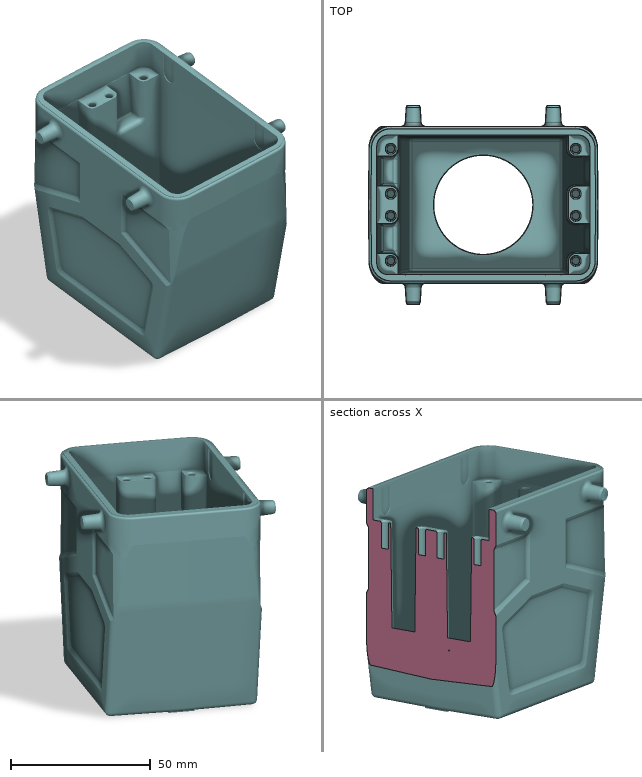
import cadquery as cq
import math

half_length = 41.0
half_width = 28.05
height = 78.6
shoulder_z = 67.9
waist_z = 43.6
waist_half = 39.0
base_half = 30.8
bend_radius = 20.0
side_draft = 0.5
corner_radius = 7.8
corner_foot_radius = 6.1
corner_foot_z = 28.7
edge_radius = 2.0
rim_radius = 0.7
lip_inset = 0.9
lip_height = 0.3

wall = 3.1
floor_z = 3.3
boss_top_z = 67.1
mouth_half_length = 38.05
mouth_half_width = 24.9
mouth_radius = 4.1
floor_half_width = 23.8
floor_radius = 1.15
outlet_radius = 17.7

boss_face_x = 30.5
middle_boss_half = 6.65
corner_boss_y = 17.4
boss_radius = 2.5
root_radius = 0.8
boss_draft = 0.8
screw_x = 33.05
screw_ys = (3.9, 20.0)
screw_diameter = 2.8
screw_mouth_diameter = 3.85
screw_depth = 9.8

shelf_z = 50.0
shelf_edge_radius = 1.8
thick_wall_bend_x = 29.4
thick_wall_bend_z = 20.1
thick_wall_foot_x = 26.4

pin_x = 25.0
pin_z = 72.5
pin_tip_y = 35.5
pin_base_radius = 2.9
pin_tip_radius = 2.55
pin_chamfer_length = 0.7
pin_chamfer_depth = 0.3
flare_radius = 4.6
flare_length = 1.3
relief_radius = 2.8
relief_depth = 0.3
relief_center_z = boss_top_z + relief_radius

recess_depth = 0.9
recess_slope = 1.7
roof_angle = 20.0
grip_inner_x = 11.3
grip_top_z = 65.5
grip_inner_z = 47.5
panel_top_half = 10.2
panel_top_z = 41.9
panel_shoulder_half = 29.4
panel_bottom_half = 24.2
panel_bottom_z = 7.8
panel_radius = 5.3

pad_length = 11.5
pad_width = 9.5
pad_height = 0.3
pad_x = 23.95

trim_allowance = 4.1
beyond = 49.2
recess_taper = math.degrees(math.atan(recess_slope / recess_depth))
roof_slope = math.tan(math.radians(roof_angle))
margin = 0.4
box_select = cq.selectors.BoxSelector


def both_ends(shape):
    """Join a shape with its mirror image across x = 0."""
    return shape.union(shape.mirror("YZ"))


def both_faces(shape):
    """Join a shape with its mirror image across y = 0."""
    return shape.union(shape.mirror("XZ"))


def hull():
    """Kinked side profile with draft to both sides, cut off level below the lip."""
    right = [
        (base_half, 0), (waist_half, waist_z),
        (half_length, shoulder_z), (half_length, height + trim_allowance),
    ]
    outline = right + [(-x, z) for x, z in reversed(right)]
    middle = cq.Plane(origin=(0, 0, 0), xDir=(-1, 0, 0), normal=(0, 1, 0))
    half = cq.Workplane(middle).polyline(outline).close().extrude(half_width, taper=side_draft)

    def bends_at(z):
        return box_select((-beyond, half_width / 4, z - margin), (beyond, 3 * half_width / 4, z + margin))

    half = half.edges(bends_at(waist_z) + bends_at(shoulder_z)).fillet(bend_radius)
    face_edges = cq.selectors.StringSyntaxSelector(">Y") - cq.selectors.StringSyntaxSelector(">Z")
    half = half.edges(face_edges + bends_at(0)).fillet(edge_radius)
    level = cq.Workplane().rect(4 * beyond, 4 * beyond).extrude(height - lip_height)
    return both_faces(half).intersect(level)


def collar_section(radius, inset=0):
    """Horizontal section of the collar: end sides follow the side draft, corners are rounded."""
    middle_x = half_length - inset
    side_y = half_width - inset
    end_x = middle_x - half_width * math.tan(math.radians(side_draft))
    outline = [
        (middle_x, 0), (end_x, side_y), (-end_x, side_y),
        (-middle_x, 0), (-end_x, -side_y), (end_x, -side_y), (middle_x, 0),
    ]
    return cq.Sketch().polygon(outline).vertices("<Y or >Y").fillet(radius).reset()


def collar_body():
    """Upright collar above corners that shrink toward their foot."""
    rise = cq.Location(cq.Vector(0, 0, shoulder_z - corner_foot_z))
    lower = (
        cq.Workplane(origin=(0, 0, corner_foot_z))
        .placeSketch(collar_section(corner_foot_radius), collar_section(corner_radius).moved(rise))
        .loft(ruled=True)
    )
    upper = cq.Workplane(origin=(0, 0, shoulder_z)).placeSketch(collar_section(corner_radius))
    return lower.union(upper.extrude(height - shoulder_z))


def corner_trim():
    """Material outside the collar corners, above the slanted lower walls of the grip recesses."""
    angle = math.radians(roof_angle)
    along = cq.Vector(-math.cos(angle), 0, math.sin(angle))
    upward = cq.Vector(math.sin(angle), 0, math.cos(angle))
    inward = cq.Vector(0, -recess_depth, 0) + upward * recess_slope
    normal = along.cross(inward)
    plane = cq.Plane(origin=(grip_inner_x, half_width, grip_inner_z), xDir=along, normal=normal)
    above = cq.Workplane(plane).rect(4 * beyond, 4 * beyond).extrude(2 * beyond)
    corner = cq.Workplane(origin=(0, 0, corner_foot_z))
    corner = corner.box(beyond, beyond, height - corner_foot_z, centered=False)
    trim = corner.cut(collar_body()).intersect(above)
    return both_faces(both_ends(trim))


def lip():
    """Low ledge around the mouth, set in from the rounded rim."""
    section = collar_section(corner_radius - lip_inset, lip_inset)
    base = cq.Workplane(origin=(0, 0, height - 2 * lip_height))
    return base.placeSketch(section).extrude(2 * lip_height)


def grip_recesses():
    """Finger recesses at both sides of the broad faces, open to the corners."""
    outer_z = grip_inner_z - roof_slope * (beyond - grip_inner_x)
    outline = [
        (grip_inner_x, grip_top_z), (grip_inner_x, grip_inner_z),
        (beyond, outer_z), (beyond, grip_top_z),
    ]
    recess = cq.Workplane("XZ", origin=(0, half_width, 0)).polyline(outline).close()
    return both_faces(both_ends(recess.extrude(recess_depth, taper=recess_taper)))


def panel_recesses():
    """Shallow six-sided panels in the broad faces, with slanted walls."""
    shoulder = panel_top_z - roof_slope * (panel_shoulder_half - panel_top_half)
    right = [
        (panel_bottom_half, panel_bottom_z), (panel_shoulder_half, shoulder),
        (panel_top_half, panel_top_z),
    ]
    outline = right + [(-x, z) for x, z in reversed(right)]
    recess = cq.Workplane("XZ", origin=(0, half_width, 0)).polyline(outline).close()
    recess = recess.extrude(recess_depth, taper=recess_taper)
    return both_faces(recess.edges("not #Y").edges("not >Z").fillet(panel_radius))


def bosses():
    """Screw bosses at both ends, widening downward by their draft."""
    def block(y_low, y_high):
        top = cq.Workplane(cq.Plane(origin=(0, 0, boss_top_z), xDir=(1, 0, 0), normal=(0, 0, -1)))
        sketch = cq.Sketch().push([((boss_face_x + beyond) / 2, -(y_low + y_high) / 2)])
        sketch = sketch.rect(beyond - boss_face_x, y_high - y_low).reset()
        sketch = sketch.vertices().fillet(boss_radius)
        return top.placeSketch(sketch).extrude(boss_top_z, taper=-boss_draft)

    corner = block(corner_boss_y, beyond)
    middle = block(-middle_boss_half, middle_boss_half)
    return both_ends(both_faces(corner).union(middle))


def thick_wall():
    """Thick lower part of the -X end wall, ending in a shelf."""
    outline = [
        (-beyond, 0), (-thick_wall_foot_x, 0), (-thick_wall_foot_x, floor_z),
        (-thick_wall_bend_x, thick_wall_bend_z), (-boss_face_x, shelf_z), (-beyond, shelf_z),
    ]
    return cq.Workplane("XZ", origin=(0, beyond, 0)).polyline(outline).close().extrude(2 * beyond)


def boss_root_edges():
    """Select the upright edges where the corner bosses meet the long walls."""
    selector = None
    for x_near, x_far in ((-boss_face_x, -thick_wall_foot_x), (thick_wall_foot_x, boss_face_x)):
        for y_near, y_far in ((-mouth_half_width, -floor_half_width), (floor_half_width, mouth_half_width)):
            box = box_select((x_near, y_near, floor_z + floor_radius), (x_far, y_far, boss_top_z - margin))
            selector = selector + box if selector else box
    return selector


def shelf_edges(inner_x):
    """Select the edges at shelf height whose centers lie outside inner_x."""
    return box_select(
        (-beyond, -mouth_half_width, shelf_z - margin), (-inner_x, mouth_half_width, shelf_z + margin)
    )


def cavity():
    """Drafted inside with bosses and the thick end wall left standing, below a rounded mouth."""
    slope = (waist_half - base_half) / waist_z
    floor_half = base_half + slope * floor_z - wall
    right = [
        (floor_half, floor_z), (waist_half - wall, waist_z), (half_length - wall, boss_top_z),
    ]
    outline = right + [(-x, z) for x, z in reversed(right)]
    lower = cq.Workplane("XZ", origin=(0, beyond, 0)).polyline(outline).close().extrude(2 * beyond)
    section = [
        (floor_half_width, floor_z), (mouth_half_width, boss_top_z),
        (-mouth_half_width, boss_top_z), (-floor_half_width, floor_z),
    ]
    lower = lower.intersect(
        cq.Workplane("YZ", origin=(-beyond, 0, 0)).polyline(section).close().extrude(2 * beyond)
    )
    lower = lower.cut(thick_wall()).faces("<Z").edges().fillet(floor_radius)
    lower = lower.cut(bosses())
    lower = lower.edges(boss_root_edges() + shelf_edges(boss_face_x + margin)).fillet(root_radius)
    shelf_rims = lower.edges("|Y").edges(shelf_edges(boss_face_x - margin))
    lower = shelf_rims.edges(">X").fillet(shelf_edge_radius)
    mouth = (
        cq.Workplane(origin=(0, 0, boss_top_z))
        .rect(2 * mouth_half_length, 2 * mouth_half_width)
        .extrude(height - boss_top_z)
        .edges("|Z").fillet(mouth_radius)
    )
    return mouth.union(lower)


def pin_reliefs():
    """Shallow U-shaped reliefs in the mouth behind the pins."""
    depth = mouth_half_width + relief_depth
    relief = (
        cq.Workplane("XZ", origin=(pin_x, depth, 0))
        .moveTo(-relief_radius, height - rim_radius)
        .lineTo(-relief_radius, relief_center_z)
        .threePointArc((0, relief_center_z - relief_radius), (relief_radius, relief_center_z))
        .lineTo(relief_radius, height - rim_radius)
        .close()
        .extrude(2 * relief_depth)
    )
    return both_faces(both_ends(relief))


def pins():
    """Tapered pins with a concave flare where they leave the wall."""
    flare_end = half_width + flare_length
    mid = math.sqrt(0.5)
    flare_mid = (
        flare_radius - (flare_radius - pin_base_radius) * mid,
        flare_end - flare_length * mid,
    )
    pin = (
        cq.Workplane("XY", origin=(pin_x, 0, pin_z))
        .moveTo(0, half_width - wall / 2)
        .lineTo(flare_radius, half_width - wall / 2)
        .lineTo(flare_radius, half_width)
        .threePointArc(flare_mid, (pin_base_radius, flare_end))
        .lineTo(pin_tip_radius, pin_tip_y - pin_chamfer_length)
        .lineTo(pin_tip_radius - pin_chamfer_depth, pin_tip_y)
        .lineTo(0, pin_tip_y)
        .close()
        .revolve(360, (0, 0, 0), (0, 1, 0))
    )
    return both_faces(both_ends(pin))


def screw_holes():
    """Blind holes in the bosses with a 45 degree bevel at the mouth."""
    spots = [(sx * screw_x, sy * y) for sx in (-1, 1) for sy in (-1, 1) for y in screw_ys]
    bevel = (screw_mouth_diameter - screw_diameter) / 2
    top = cq.Workplane(origin=(0, 0, boss_top_z)).pushPoints(spots)
    shafts = top.circle(screw_diameter / 2).extrude(-screw_depth)
    mouths = top.circle(screw_mouth_diameter / 2).extrude(-bevel, taper=45)
    return shafts.union(mouths)


def base_pads():
    """Low pads that lift the base at both ends."""
    pad = cq.Workplane(origin=(pad_x, 0, -pad_height)).rect(pad_length, pad_width)
    return both_ends(pad.extrude(2 * pad_height))


shell = hull().cut(corner_trim())
shell = shell.faces(">Z").edges().fillet(rim_radius)
shell = shell.union(lip())
shell = shell.cut(grip_recesses()).cut(panel_recesses())
shell = shell.union(pins()).union(base_pads())
shell = shell.cut(cavity()).cut(pin_reliefs()).cut(screw_holes())
result = shell.cut(cq.Workplane().circle(outlet_radius).extrude(2 * floor_z))